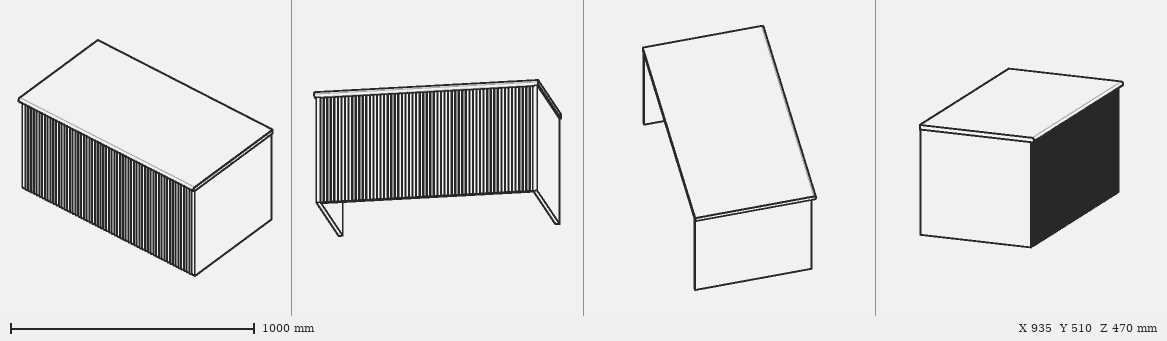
import cadquery as cq
import math

total_width = 935.0
total_depth = 510.0
total_height = 470.0

top_thickness = 21.0
end_chamfer = 1.0

side_inset = 6.1
side_thickness = 18.0
front_overhang = 18.0

rib_count = 60
rib_gap = 3.1
rib_height = 3.55
rib_protrusion = 1.5
front_thickness = 18.0
front_top_gap = 3.0

back_y = total_depth / 2
nose_y = -total_depth / 2
side_front_y = nose_y + front_overhang
top_underside = total_height - top_thickness
side_outer_x = total_width / 2 - side_inset
side_inner_x = side_outer_x - side_thickness


def make_countertop():
    """Slab along X; its front edge is two quarter rounds that meet at mid-thickness."""
    radius = top_thickness / 2
    middle_z = top_underside + radius
    round_center_y = nose_y + radius
    diagonal = radius * math.sqrt(0.5)
    slab = (
        cq.Workplane("YZ", origin=(-total_width / 2, 0, 0))
        .moveTo(back_y, top_underside)
        .lineTo(round_center_y, top_underside)
        .threePointArc((round_center_y - diagonal, middle_z - diagonal), (nose_y, middle_z))
        .threePointArc((round_center_y - diagonal, middle_z + diagonal), (round_center_y, total_height))
        .lineTo(back_y, total_height)
        .close()
        .extrude(total_width, clean=False)
    )
    return slab.faces("<X or >X").edges().chamfer(end_chamfer)


def make_side_panel(x_start):
    """Plain upright panel that carries the countertop."""
    panel_depth = back_y - side_front_y
    panel = cq.Workplane("XY").box(side_thickness, panel_depth, top_underside, centered=False)
    return panel.translate((x_start, side_front_y, 0))


def make_fluted_front():
    """Panel between the sides with a row of vertical convex ribs on its front."""
    rib_width = (2 * side_inner_x - (rib_count - 1) * rib_gap) / rib_count
    rib_pitch = rib_width + rib_gap
    crest_y = side_front_y - rib_protrusion
    valley_y = crest_y + rib_height
    inner_y = crest_y + front_thickness

    outline = cq.Workplane("XY").moveTo(-side_inner_x, inner_y)
    for index in range(rib_count):
        rib_start = -side_inner_x + index * rib_pitch
        outline = outline.lineTo(rib_start, valley_y).threePointArc(
            (rib_start + rib_width / 2, crest_y), (rib_start + rib_width, valley_y)
        )
    outline = outline.lineTo(side_inner_x, inner_y).close()
    return outline.extrude(top_underside - front_top_gap)


countertop = make_countertop()
side_panels = [make_side_panel(x_start) for x_start in (-side_outer_x, side_inner_x)]
fluted_front = make_fluted_front()

result = cq.Compound.makeCompound(
    [countertop.val(), fluted_front.val()] + [panel.val() for panel in side_panels]
)